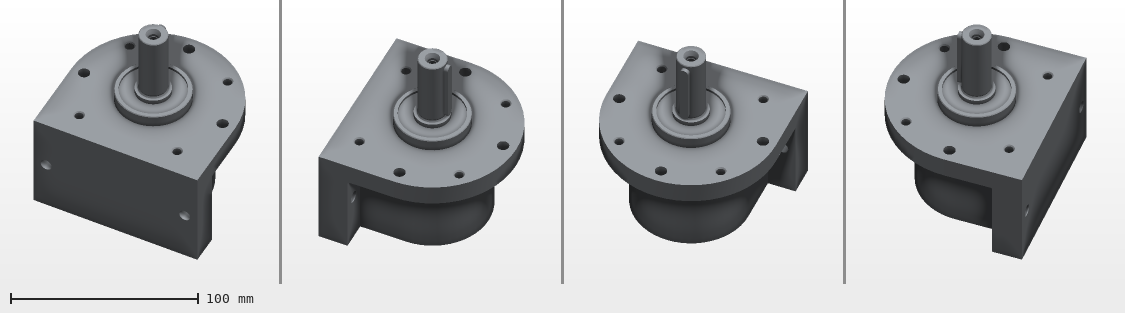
import cadquery as cq
import math

plate_radius = 49.01
wall_face_y = -44.02
body_height = 60.0
plate_thickness = 12.0
barrel_radius = 33.0
wall_thickness = 17.0
wall_corner_radius = 1.1

boss_diameter = 42.0
boss_height = 7.0
boss_chamfer = 0.4
recess_diameter = 37.0
recess_depth = 1.5

clearance_diameter = 6.6
hole_offset = 41.5
wall_hole_height = body_height / 2
tapped_diameter = 4.9
tapped_depth = 14.1
tapped_mouth_diameter = 6.2
tapped_offset = hole_offset / math.sqrt(2)
drill_point_angle = 118

shaft_diameter = 16.0
shaft_top = 108.3
shaft_chamfer = 0.4
collar_diameter = 20.0
collar_rise = 1.2
neck_diameter = 15.4
neck_chamfer_height = 0.5
flare_diameter = 16.7
flare_height = 0.8
shaft_seat_depth = 11.9

center_mouth_diameter = 8.2
center_sink_depth = 2.5
center_pilot_diameter = 5.3
center_pilot_depth = 4.0
center_drill_diameter = 4.1
center_drill_depth = 12.5

key_width = 5.0
key_outer_y = 10.2
key_top_gap = 2.0
key_bottom = 70.0

plate_bottom = body_height - plate_thickness
boss_top = body_height + boss_height
recess_floor = boss_top - recess_depth
shaft_bottom = recess_floor - shaft_seat_depth
collar_top = boss_top + collar_rise


def drill_tip_height(diameter):
    return diameter / 2 / math.tan(math.radians(drill_point_angle / 2))


def u_block(radius, front_y, bottom, top):
    """Block with straight sides and a half-round end on the +Y side."""
    return (
        cq.Workplane("XY", origin=(0, 0, bottom))
        .moveTo(-radius, front_y)
        .lineTo(radius, front_y)
        .lineTo(radius, 0)
        .threePointArc((0, radius), (-radius, 0))
        .close()
        .extrude(top - bottom)
    )


def cylinder(diameter, bottom, top):
    return cq.Workplane("XY", origin=(0, 0, bottom)).circle(diameter / 2).extrude(top - bottom)


def housing_shell():
    """Plate and wall as one L-shaped bracket around the barrel, with the boss on top."""
    wall_back_y = wall_face_y + wall_thickness
    bracket = u_block(plate_radius, wall_face_y, 0, body_height)
    clearance_space = (
        cq.Workplane("XY")
        .box(2 * plate_radius, plate_radius - wall_back_y, plate_bottom, centered=(True, False, False))
        .translate((0, wall_back_y, 0))
        .edges("|X and >Z and <Y")
        .fillet(wall_corner_radius)
    )
    barrel = u_block(barrel_radius, wall_face_y, 0, body_height)
    boss = cylinder(boss_diameter, body_height, boss_top).faces(">Z").chamfer(boss_chamfer)
    return bracket.cut(clearance_space).union(barrel).union(boss)


def tapped_hole(x, y):
    """Blind hole with a drill point and a chamfered mouth."""
    radius = tapped_diameter / 2
    mouth_radius = tapped_mouth_diameter / 2
    floor = body_height - tapped_depth
    return (
        cq.Workplane("XZ")
        .moveTo(0, body_height)
        .lineTo(mouth_radius, body_height)
        .lineTo(radius, body_height - (mouth_radius - radius))
        .lineTo(radius, floor)
        .lineTo(0, floor - drill_tip_height(tapped_diameter))
        .close()
        .revolve(360, (0, 0, 0), (0, 1, 0))
        .translate((x, y, 0))
    )


def make_housing():
    housing = housing_shell()
    housing = housing.cut(cylinder(recess_diameter, recess_floor, boss_top))
    housing = housing.cut(cylinder(collar_diameter, shaft_bottom, boss_top))

    plate_holes = (
        cq.Workplane("XY", origin=(0, 0, plate_bottom))
        .pushPoints([(-hole_offset, 0), (hole_offset, 0), (0, hole_offset)])
        .circle(clearance_diameter / 2)
        .extrude(plate_thickness)
    )
    wall_holes = (
        cq.Workplane("XZ", origin=(0, wall_face_y, 0))
        .pushPoints([(-hole_offset, wall_hole_height), (hole_offset, wall_hole_height)])
        .circle(clearance_diameter / 2)
        .extrude(-wall_thickness)
    )
    housing = housing.cut(plate_holes).cut(wall_holes)

    for x in (-tapped_offset, tapped_offset):
        for y in (-tapped_offset, tapped_offset):
            housing = housing.cut(tapped_hole(x, y))
    return housing


def shaft_blank():
    """Turned shaft: collar, flare, relief neck and journal with its center hole."""
    drill_floor = shaft_top - center_drill_depth
    outline = [
        (0, shaft_bottom),
        (collar_diameter / 2, shaft_bottom),
        (collar_diameter / 2, collar_top),
        (flare_diameter / 2, collar_top),
        (neck_diameter / 2, collar_top + flare_height),
        (neck_diameter / 2, key_bottom - neck_chamfer_height),
        (shaft_diameter / 2, key_bottom),
        (shaft_diameter / 2, shaft_top - shaft_chamfer),
        (shaft_diameter / 2 - shaft_chamfer, shaft_top),
        (center_mouth_diameter / 2, shaft_top),
        (center_pilot_diameter / 2, shaft_top - center_sink_depth),
        (center_pilot_diameter / 2, shaft_top - center_pilot_depth),
        (center_drill_diameter / 2, shaft_top - center_pilot_depth),
        (center_drill_diameter / 2, drill_floor),
        (0, drill_floor - drill_tip_height(center_drill_diameter)),
    ]
    return cq.Workplane("XZ").polyline(outline).close().revolve(360, (0, 0, 0), (0, 1, 0))


def shaft_key():
    """Round-ended key reaching from inside the shaft to its outer face."""
    key_top = shaft_top - key_top_gap
    key_root_y = key_outer_y - key_width
    return (
        cq.Workplane("XZ", origin=(0, key_root_y, (key_bottom + key_top) / 2))
        .slot2D(key_top - key_bottom, key_width, 90)
        .extrude(-(key_outer_y - key_root_y))
    )


housing = make_housing()
shaft = shaft_blank().union(shaft_key())

result = cq.Compound.makeCompound([housing.val(), shaft.val()])